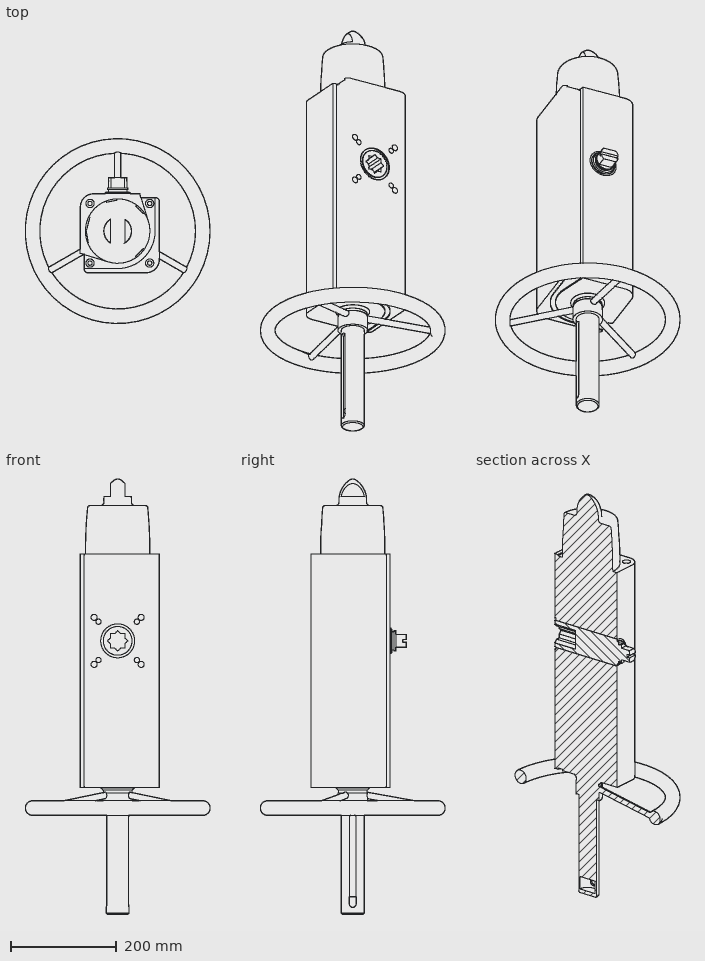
import cadquery as cq
import math

TOTAL_HEIGHT = 823.0
BLOCK_BOTTOM = 239.5
BLOCK_TOP = 681.0
PINION_HEIGHT = 517.0

NEAR_SIDE = 71.0
FAR_SIDE = 79.0
STEP_SIDE = 63.0
STEP_START = 42.0
STEP_END = 44.0
LARGE_CORNER_RADIUS = 25.5
SMALL_CORNER_RADIUS = 7.0

RECESS_DEPTH = 2.5
RECESS_LIMIT = 71.0

SCREW_CENTER = (FAR_SIDE - NEAR_SIDE) / 2
SCREW_SPACING = 113.0
SCREW_OFFSET = SCREW_SPACING / 2
SCREW_POCKET_DIAMETER = 16.0
SCREW_POCKET_DEPTH = 6.5
SCREW_HOLE_DIAMETER = 8.0
SCREW_HOLE_DEPTH = 5.0

OUTER_HOLE_OFFSET = 44.5
OUTER_HOLE_DIAMETER = 11.5
INNER_HOLE_OFFSET = 36.0
INNER_HOLE_DIAMETER = 10.0
MOUNTING_HOLE_DEPTH = 16.5

COVER_DIAMETER = 122.0
COVER_WAIST_DIAMETER = 120.0
COVER_TOP_DIAMETER = 114.0
COVER_WAIST = 728.0
COVER_CURVE_END = 768.0
COVER_TOP = 773.0
COVER_EDGE_RADIUS = COVER_TOP - COVER_CURVE_END
KNOB_DIAMETER = 53.0
KNOB_FLARE_RADIUS = 6.0
KNOB_SHOULDER = 790.0
DOME_MIDDLE_RADIUS = 20.0
DOME_MIDDLE_HEIGHT = 806.0
TIP_DIAMETER = 16.0
TIP_BASE = 819.5
FIN_THICKNESS = 28.0

TUBE_DIAMETER = 44.0
TUBE_BORE_DIAMETER = 35.0
TUBE_CHAMFER = 2.5
BORE_BOTTOM = 8.0
ROD_BOTTOM = 33.0
SLOT_WIDTH = 12.0
SLOT_BOTTOM = 13.0
SLOT_TOP = 189.0

WHEEL_DIAMETER = 350.0
RIM_DIAMETER = 28.0
RIM_HEIGHT = 201.0
SPOKE_DIAMETER = 12.0
SPOKE_COUNT = 3
FIRST_SPOKE_ANGLE = 90
SPOKE_HUB_HEIGHT = 229.5
HUB_DIAMETER = 56.0
HUB_TOP = 229.5
NECK_DIAMETER = 54.0
COLLAR_DIAMETER = 64.0
COLLAR_HEIGHT = 5.0
COLLAR_LAND = 0.4

PINION_DIAMETER = 54.0
FACE_RING_DIAMETER = 64.0
FACE_RING_DEPTH = 2.5
PINION_COLLAR_DIAMETER = 48.0
PINION_COLLAR_TOP_DIAMETER = 44.0
PINION_COLLAR_END = 74.0
STUB_DIAMETER = 35.0
STUB_END = 101.0
FLANGE_DIAMETER = 39.0
FLANGE_START = 78.0
FLANGE_END = 81.5
STUB_FLAT_WIDTH = 25.0
STUB_SLOT_WIDTH = 5.0
STUB_SLOT_DEPTH = 6.5
SOCKET_SQUARE = 27.0
SOCKET_DEPTH = 49.0

DIAGONAL = math.sqrt(0.5)


def cylinder(diameter, bottom, top):
    return cq.Workplane("XY").workplane(offset=bottom).circle(diameter / 2).extrude(top - bottom)


def cylinder_along_y(diameter, start, end):
    plane = cq.Plane(origin=(0, start, PINION_HEIGHT), xDir=(1, 0, 0), normal=(0, 1, 0))
    return cq.Workplane(plane).circle(diameter / 2).extrude(end - start)


def make_block():
    outline = [
        (-NEAR_SIDE, NEAR_SIDE),
        (-NEAR_SIDE, -STEP_START),
        (-STEP_SIDE, -STEP_END),
        (-STEP_SIDE, -FAR_SIDE),
        (FAR_SIDE, -FAR_SIDE),
        (FAR_SIDE, STEP_SIDE),
        (STEP_END, STEP_SIDE),
        (STEP_START, NEAR_SIDE),
    ]
    block = (
        cq.Workplane("XY").workplane(offset=BLOCK_BOTTOM)
        .polyline(outline).close().extrude(BLOCK_TOP - BLOCK_BOTTOM)
    )
    for x, y, radius in (
        (-NEAR_SIDE, NEAR_SIDE, LARGE_CORNER_RADIUS),
        (FAR_SIDE, -FAR_SIDE, LARGE_CORNER_RADIUS),
        (-STEP_SIDE, -FAR_SIDE, SMALL_CORNER_RADIUS),
        (FAR_SIDE, STEP_SIDE, SMALL_CORNER_RADIUS),
    ):
        middle = (x, y, (BLOCK_BOTTOM + BLOCK_TOP) / 2)
        block = block.edges(cq.NearestToPointSelector(middle)).fillet(radius)
    return block


def end_recess(bottom):
    """Recess around the cover, open at the two stepped corners, with inner walls tangent to the cover."""
    cover_radius = COVER_DIAMETER / 2
    distance = math.hypot(NEAR_SIDE, STEP_START)
    corner_angle = math.atan2(-STEP_START, -NEAR_SIDE)
    tangent_angle = corner_angle + math.acos(cover_radius / distance)
    tangent_x = cover_radius * math.cos(tangent_angle)
    tangent_y = cover_radius * math.sin(tangent_angle)
    return (
        cq.Workplane("XY").workplane(offset=bottom)
        .moveTo(-NEAR_SIDE, -STEP_START)
        .lineTo(tangent_x, tangent_y)
        .threePointArc((cover_radius * DIAGONAL, -cover_radius * DIAGONAL), (-tangent_y, -tangent_x))
        .lineTo(STEP_START, NEAR_SIDE)
        .lineTo(RECESS_LIMIT, NEAR_SIDE)
        .lineTo(RECESS_LIMIT, 0)
        .threePointArc((RECESS_LIMIT * DIAGONAL, -RECESS_LIMIT * DIAGONAL), (0, -RECESS_LIMIT))
        .lineTo(-NEAR_SIDE, -RECESS_LIMIT)
        .close().extrude(RECESS_DEPTH)
    )


def screw_pockets():
    plane = cq.Workplane("XY", origin=(SCREW_CENTER, -SCREW_CENTER, BLOCK_TOP))
    spots = [(x, y) for x in (-SCREW_OFFSET, SCREW_OFFSET) for y in (-SCREW_OFFSET, SCREW_OFFSET)]
    heads = plane.pushPoints(spots).circle(SCREW_POCKET_DIAMETER / 2).extrude(-SCREW_POCKET_DEPTH)
    hole_bottom = -SCREW_POCKET_DEPTH - SCREW_HOLE_DEPTH
    return heads.union(plane.pushPoints(spots).circle(SCREW_HOLE_DIAMETER / 2).extrude(hole_bottom))


def mounting_holes(offset, diameter):
    spots = [(x, z) for x in (-offset, offset) for z in (-offset, offset)]
    return (
        cq.Workplane("XZ", origin=(0, -FAR_SIDE, PINION_HEIGHT))
        .pushPoints(spots).circle(diameter / 2).extrude(-MOUNTING_HOLE_DEPTH)
    )


def make_cover():
    """Spring cover and domed knob turned about the spindle axis; the knob is then cut to a fin."""
    top_radius = COVER_TOP_DIAMETER / 2
    knob_radius = KNOB_DIAMETER / 2
    edge_middle = (
        top_radius - COVER_EDGE_RADIUS * (1 - DIAGONAL),
        COVER_CURVE_END + COVER_EDGE_RADIUS * DIAGONAL,
    )
    flare_middle = (
        knob_radius + KNOB_FLARE_RADIUS * (1 - DIAGONAL),
        COVER_TOP + KNOB_FLARE_RADIUS * (1 - DIAGONAL),
    )
    tip_radius = TIP_DIAMETER / 2
    tip_rise = TOTAL_HEIGHT - TIP_BASE
    sphere_radius = (tip_radius ** 2 + tip_rise ** 2) / (2 * tip_rise)
    half = tip_radius / 2
    tip_middle = (half, TOTAL_HEIGHT - sphere_radius + math.sqrt(sphere_radius ** 2 - half ** 2))
    turned = (
        cq.Workplane("XZ")
        .moveTo(0, BLOCK_TOP - RECESS_DEPTH)
        .lineTo(COVER_DIAMETER / 2, BLOCK_TOP - RECESS_DEPTH)
        .threePointArc((COVER_WAIST_DIAMETER / 2, COVER_WAIST), (top_radius, COVER_CURVE_END))
        .threePointArc(edge_middle, (top_radius - COVER_EDGE_RADIUS, COVER_TOP))
        .lineTo(knob_radius + KNOB_FLARE_RADIUS, COVER_TOP)
        .threePointArc(flare_middle, (knob_radius, COVER_TOP + KNOB_FLARE_RADIUS))
        .threePointArc((DOME_MIDDLE_RADIUS, DOME_MIDDLE_HEIGHT), (tip_radius, TIP_BASE))
        .threePointArc(tip_middle, (0, TOTAL_HEIGHT))
        .close().revolve(360, (0, 0, 0), (0, 1, 0))
    )
    fin_height = TOTAL_HEIGHT - KNOB_SHOULDER
    for side in (-1, 1):
        beside_fin = (
            cq.Workplane("XY", origin=(side * (FIN_THICKNESS + KNOB_DIAMETER) / 2, 0, KNOB_SHOULDER))
            .rect(KNOB_DIAMETER, 2 * KNOB_DIAMETER).extrude(fin_height)
        )
        turned = turned.cut(beside_fin)
    return turned


def make_tube():
    tube = cylinder(TUBE_DIAMETER, 0, RIM_HEIGHT).faces("<Z").chamfer(TUBE_CHAMFER)
    tube = tube.cut(cylinder(TUBE_BORE_DIAMETER, BORE_BOTTOM, ROD_BOTTOM))
    slot_height = SLOT_TOP - SLOT_BOTTOM
    slot = (
        cq.Workplane("YZ", origin=(0, 0, (SLOT_BOTTOM + SLOT_TOP) / 2))
        .slot2D(slot_height, SLOT_WIDTH, 90).extrude(TUBE_DIAMETER, both=True)
    )
    rod = cylinder(TUBE_BORE_DIAMETER, ROD_BOTTOM, SLOT_TOP)
    return tube.cut(slot.cut(rod))


def make_handwheel():
    rim_radius = (WHEEL_DIAMETER - RIM_DIAMETER) / 2
    rim = (
        cq.Workplane("XZ").moveTo(rim_radius, RIM_HEIGHT).circle(RIM_DIAMETER / 2)
        .revolve(360, (0, 0, 0), (0, 1, 0), clean=False)
    )
    wheel = cylinder(HUB_DIAMETER, RIM_HEIGHT, HUB_TOP)
    wheel = wheel.union(cylinder(NECK_DIAMETER, HUB_TOP, BLOCK_BOTTOM + RECESS_DEPTH))
    collar_taper = (COLLAR_DIAMETER - NECK_DIAMETER) / 2
    collar = (
        cylinder(COLLAR_DIAMETER, BLOCK_BOTTOM - COLLAR_HEIGHT, BLOCK_BOTTOM + RECESS_DEPTH)
        .faces("<Z").chamfer(COLLAR_HEIGHT - COLLAR_LAND, collar_taper - COLLAR_LAND)
    )
    wheel = wheel.union(collar)
    spoke_drop = SPOKE_HUB_HEIGHT - RIM_HEIGHT
    for number in range(SPOKE_COUNT):
        angle = math.radians(FIRST_SPOKE_ANGLE + number * 360 / SPOKE_COUNT)
        direction = (rim_radius * math.cos(angle), rim_radius * math.sin(angle), -spoke_drop)
        plane = cq.Plane(origin=(0, 0, SPOKE_HUB_HEIGHT), normal=direction)
        spoke = cq.Workplane(plane).circle(SPOKE_DIAMETER / 2).extrude(math.hypot(rim_radius, spoke_drop))
        wheel = wheel.union(spoke)
    return wheel.union(rim, clean=False)


def make_housing():
    block = make_block()
    block = block.cut(end_recess(BLOCK_TOP - RECESS_DEPTH))
    block = block.cut(end_recess(BLOCK_BOTTOM))
    block = block.cut(screw_pockets())
    block = block.cut(mounting_holes(OUTER_HOLE_OFFSET, OUTER_HOLE_DIAMETER))
    block = block.cut(mounting_holes(INNER_HOLE_OFFSET, INNER_HOLE_DIAMETER))
    block = block.cut(cylinder_along_y(PINION_DIAMETER, -FAR_SIDE, NEAR_SIDE))
    block = block.cut(cylinder_along_y(FACE_RING_DIAMETER, -FAR_SIDE, FACE_RING_DEPTH - FAR_SIDE))
    return block.union(make_cover()).union(make_tube()).union(make_handwheel(), clean=False)


def make_pinion():
    pinion = cylinder_along_y(PINION_DIAMETER, -FAR_SIDE, NEAR_SIDE)
    collar = cylinder_along_y(PINION_COLLAR_DIAMETER, NEAR_SIDE, PINION_COLLAR_END)
    collar = collar.faces(">Y").chamfer((PINION_COLLAR_DIAMETER - PINION_COLLAR_TOP_DIAMETER) / 2)
    stub = cylinder_along_y(STUB_DIAMETER, NEAR_SIDE, STUB_END)
    flats = (
        cq.Workplane("XZ", origin=(0, FLANGE_END, PINION_HEIGHT))
        .rect(2 * STUB_DIAMETER, 2 * STUB_DIAMETER).rect(2 * STUB_DIAMETER, STUB_FLAT_WIDTH)
        .extrude(FLANGE_END - STUB_END)
    )
    end_slot = (
        cq.Workplane("XZ", origin=(0, STUB_END, PINION_HEIGHT))
        .rect(2 * STUB_DIAMETER, STUB_SLOT_WIDTH).extrude(STUB_SLOT_DEPTH)
    )
    stub = stub.cut(flats).cut(end_slot)
    flange = cylinder_along_y(FLANGE_DIAMETER, FLANGE_START, FLANGE_END)
    pinion = pinion.union(collar).union(stub).union(flange)
    for angle in (0, 45):
        square = (
            cq.Workplane("XZ", origin=(0, -FAR_SIDE, PINION_HEIGHT))
            .transformed(rotate=(0, 0, angle)).rect(SOCKET_SQUARE, SOCKET_SQUARE).extrude(-SOCKET_DEPTH)
        )
        pinion = pinion.cut(square)
    return pinion


housing = make_housing()
pinion = make_pinion()
result = cq.Compound.makeCompound([*housing.solids().vals(), *pinion.solids().vals()])